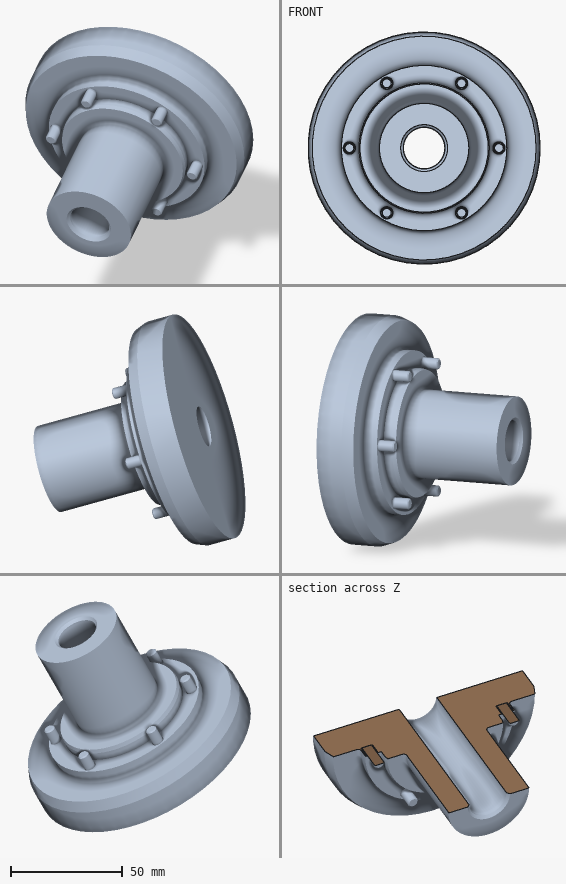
import cadquery as cq
import math

total_length = 74.0
back_y = total_length / 2

flange_radius = 104 / 2
flange_thickness = 17.1
bevel_length = 5.0
bevel_depth = 1.9

step_radius = 74.0 / 2
step_level = 23.1

boss_radius = 58.5 / 2
boss_level = 28.8
lead_in_length = 1.9
lead_in_depth = 0.5

tube_radius = 40.0 / 2
bore_radius = 18.5 / 2
bore_chamfer = 1.2

root_fillet = 1.5

pin_count = 6
pin_radius = 5.0 / 2
pin_tip_chamfer = 0.5
pin_circle_radius = 33.5
pin_end_level = 30.6
hole_radius = 5.5 / 2
hole_floor_level = flange_thickness

pin_centres = [
    (
        pin_circle_radius * math.cos(2 * math.pi * i / pin_count),
        pin_circle_radius * math.sin(2 * math.pi * i / pin_count),
    )
    for i in range(pin_count)
]


def plane_at(level):
    """Plane across the axis at a distance from the back face, facing the tube end (-Y)."""
    return cq.Workplane("XZ", origin=(0, back_y - level, 0))


def make_cylinder(radius, start_level, end_level):
    return plane_at(start_level).circle(radius).extrude(end_level - start_level)


def concave_fillet(profile, wall_radius, face_level):
    """Draw a root fillet from a face inward onto the cylinder of wall_radius."""
    offset = root_fillet * (1 - math.sqrt(0.5))
    return profile.lineTo(wall_radius + root_fillet, back_y - face_level).threePointArc(
        (wall_radius + offset, back_y - face_level - offset),
        (wall_radius, back_y - face_level - root_fillet),
    )


def make_turned_body():
    """Flange, step, boss and tube, revolved from one half section around the bore."""
    front_y = back_y - total_length
    flange_y = back_y - flange_thickness
    step_y = back_y - step_level
    boss_y = back_y - boss_level

    profile = (
        cq.Workplane("XY")
        .moveTo(bore_radius, back_y)
        .lineTo(flange_radius, back_y)
        .lineTo(flange_radius, flange_y + bevel_length)
        .lineTo(flange_radius - bevel_depth, flange_y)
    )
    profile = concave_fillet(profile, step_radius, flange_thickness)
    profile = (
        profile.lineTo(step_radius, step_y)
        .lineTo(boss_radius, step_y)
        .lineTo(boss_radius, boss_y + lead_in_length)
        .lineTo(boss_radius - lead_in_depth, boss_y)
    )
    profile = concave_fillet(profile, tube_radius, boss_level)
    profile = (
        profile.lineTo(tube_radius, front_y)
        .lineTo(bore_radius + bore_chamfer, front_y)
        .lineTo(bore_radius, front_y + bore_chamfer)
        .close()
    )
    return profile.revolve(360, (0, 0, 0), (0, 1, 0))


def make_hub():
    hub = make_turned_body()
    hole = make_cylinder(hole_radius, hole_floor_level, step_level)
    for x, z in pin_centres:
        hub = hub.cut(hole.translate((x, 0, z)))
    return hub


def make_pin(x, z):
    """Pin standing on the floor of its hole, with a chamfered tip."""
    pin = make_cylinder(pin_radius, hole_floor_level, pin_end_level)
    return pin.faces("<Y").chamfer(pin_tip_chamfer).translate((x, 0, z))


hub = make_hub()
pins = [make_pin(x, z) for x, z in pin_centres]

result = cq.Compound.makeCompound([hub.val(), *[pin.val() for pin in pins]])